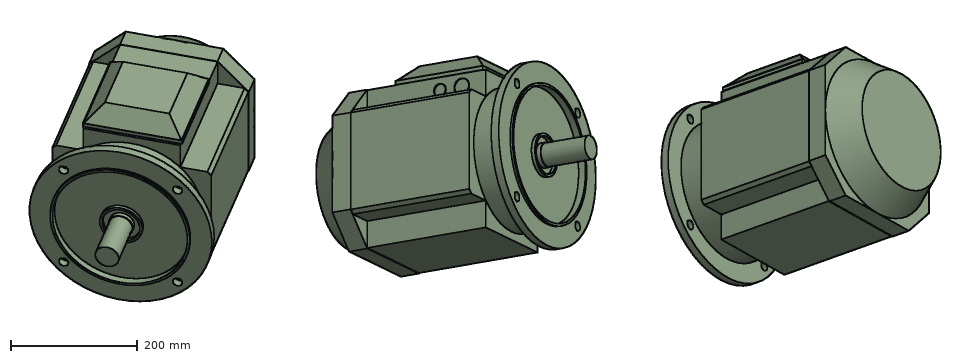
import cadquery as cq


PILOT_FACE_Y = 76.0
FLANGE_FACE_Y = 80.0
FLANGE_BACK_Y = 94.0
BODY_FRONT_Y = 145.5
HOOD_FRONT_Y = 364.5
HOOD_BACK_Y = 398.0
REAR_END_Y = 447.0

SHAFT_RADIUS = 19.0
SHOULDER_RADIUS = 20.0
SHOULDER_FRONT_Y = 80.5
FLANGE_DIAMETER = 300.0
PILOT_RADIUS = 115.0
RECESS_RADIUS = 111.0
RECESS_DEPTH = 12.5
SEAL_RING_OUTER_RADIUS = 35.0
SEAL_RING_INNER_RADIUS = 31.0
SEAL_RING_HEIGHT = 6.3
BOLT_CIRCLE_RADIUS = 132.5
BOLT_COUNT = 4
FIRST_BOLT_ANGLE = 45
BOLT_HOLE_RADIUS = 7.5
ADAPTER_RADIUS = 117.0

BODY_HALF_SIZE = 130.5
FLAT_HALF_WIDTH = 80.0
NOTCH_HEIGHT = 86.3
HOOD_HALF_SIZE = 131.5
HOOD_REAR_RADIUS = 99.5

BOX_CENTER_Y = 230.5
BOX_WIDTH = 163.0
BOX_LENGTH = 161.5
BOX_RIM_TOP_Z = 137.2
LID_HEIGHT = 27.3
LID_TAPER_ANGLE = 45
LID_BASE_SIDE = 160.5

CABLE_ENTRIES = [(230.5, 10.7), (190.5, 13.5)]
CABLE_ENTRY_Z = 109.5
CABLE_ENTRY_DEPTH = 2.0


def section_at(y):
    """Workplane across the shaft axis, local axes X and -Z, extruding toward +Y."""
    return cq.Workplane(cq.Plane(origin=(0, y, 0), xDir=(1, 0, 0), normal=(0, 1, 0)))


def disc(radius, start_y, end_y):
    return section_at(start_y).circle(radius).extrude(end_y - start_y)


def prism(points, start_y, end_y):
    return section_at(start_y).polyline(points).close().extrude(end_y - start_y)


def mirrored_outline(corner):
    """Closed outline from the points of one corner, listed from the side flat to the top flat."""
    upper_left = [(-x, z) for x, z in reversed(corner)]
    upper = corner + upper_left
    lower = [(-x, -z) for x, z in upper]
    return upper + lower


def make_body():
    chamfer_end_x = BODY_HALF_SIZE + FLAT_HALF_WIDTH - NOTCH_HEIGHT
    corner = [
        (BODY_HALF_SIZE, FLAT_HALF_WIDTH),
        (chamfer_end_x, NOTCH_HEIGHT),
        (FLAT_HALF_WIDTH, NOTCH_HEIGHT),
        (FLAT_HALF_WIDTH, BODY_HALF_SIZE),
    ]
    return prism(mirrored_outline(corner), BODY_FRONT_Y, HOOD_FRONT_Y)


def make_hood():
    corner = [(HOOD_HALF_SIZE, FLAT_HALF_WIDTH), (FLAT_HALF_WIDTH, HOOD_HALF_SIZE)]
    skirt = prism(mirrored_outline(corner), HOOD_FRONT_Y, HOOD_BACK_Y)
    cone_profile = [
        (0, HOOD_BACK_Y),
        (HOOD_HALF_SIZE, HOOD_BACK_Y),
        (HOOD_REAR_RADIUS, REAR_END_Y),
        (0, REAR_END_Y),
    ]
    cone = cq.Workplane("XY").polyline(cone_profile).close().revolve(360, (0, 0, 0), (0, 1, 0))
    return skirt.union(cone)


def make_terminal_box():
    rim_height = BOX_RIM_TOP_Z - BODY_HALF_SIZE
    base = cq.Workplane("XY").center(0, BOX_CENTER_Y).workplane(offset=BODY_HALF_SIZE)
    rim = base.rect(BOX_WIDTH, BOX_LENGTH).extrude(rim_height)
    lid_base = base.workplane(offset=rim_height).rect(LID_BASE_SIDE, LID_BASE_SIDE)
    lid = lid_base.extrude(LID_HEIGHT, taper=LID_TAPER_ANGLE)
    return rim.union(lid)


def make_flange():
    recess_floor_y = PILOT_FACE_Y + RECESS_DEPTH
    seal_ring = (
        section_at(recess_floor_y - SEAL_RING_HEIGHT)
        .circle(SEAL_RING_OUTER_RADIUS)
        .circle(SEAL_RING_INNER_RADIUS)
        .extrude(SEAL_RING_HEIGHT)
    )
    bolt_holes = (
        section_at(FLANGE_FACE_Y)
        .polarArray(BOLT_CIRCLE_RADIUS, FIRST_BOLT_ANGLE, 360, BOLT_COUNT)
        .circle(BOLT_HOLE_RADIUS)
        .extrude(FLANGE_BACK_Y - FLANGE_FACE_Y)
    )
    return (
        disc(FLANGE_DIAMETER / 2, FLANGE_FACE_Y, FLANGE_BACK_Y)
        .union(disc(PILOT_RADIUS, PILOT_FACE_Y, FLANGE_FACE_Y))
        .union(disc(ADAPTER_RADIUS, FLANGE_BACK_Y, BODY_FRONT_Y))
        .cut(disc(RECESS_RADIUS, PILOT_FACE_Y, recess_floor_y))
        .union(seal_ring)
        .cut(bolt_holes)
    )


def make_shaft():
    shaft = disc(SHAFT_RADIUS, 0, BODY_FRONT_Y)
    return shaft.union(disc(SHOULDER_RADIUS, SHOULDER_FRONT_Y, BODY_FRONT_Y))


def make_cable_entry(center_y, radius):
    return (
        cq.Workplane("YZ", origin=(-FLAT_HALF_WIDTH, center_y, CABLE_ENTRY_Z))
        .circle(radius)
        .extrude(CABLE_ENTRY_DEPTH)
    )


motor = make_body()
for section in (make_hood(), make_terminal_box(), make_flange(), make_shaft()):
    motor = motor.union(section)
for entry_y, entry_radius in CABLE_ENTRIES:
    motor = motor.cut(make_cable_entry(entry_y, entry_radius))

result = motor